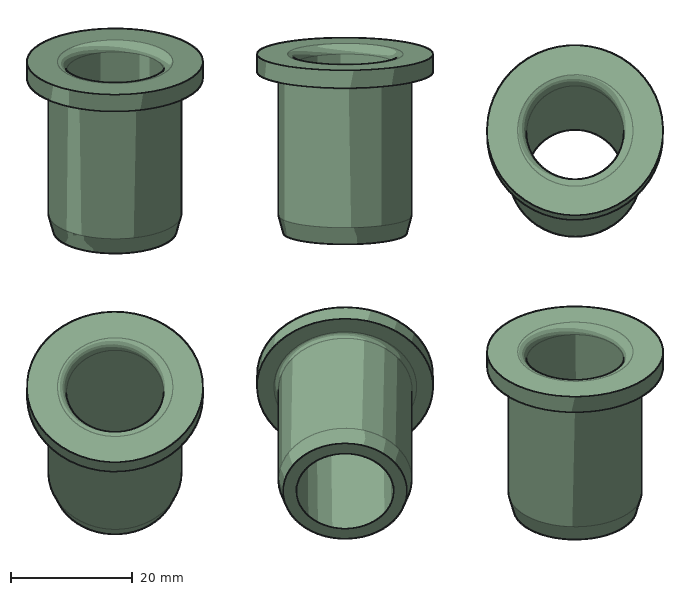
import cadquery as cq
import math

total_height = 30.0
flange_diameter = 29.0
flange_thickness = 3.0
body_diameter = 22.0
bore_diameter = 16.0
bore_entry_radius = 1.5
neck_fillet_radius = 0.75
lead_in_height = 3.0
lead_in_angle = 15.0

flange_radius = flange_diameter / 2
body_radius = body_diameter / 2
bore_radius = bore_diameter / 2
lead_in_radius = body_radius - lead_in_height * math.tan(math.radians(lead_in_angle))
flange_underside = total_height - flange_thickness
quarter_arc_factor = math.sqrt(0.5)


def bushing():
    """Flanged bushing revolved from its half section."""
    fillet_centre_r = body_radius + neck_fillet_radius
    fillet_centre_z = flange_underside - neck_fillet_radius
    fillet_mid_offset = neck_fillet_radius * quarter_arc_factor

    entry_centre_r = bore_radius + bore_entry_radius
    entry_centre_z = total_height - bore_entry_radius
    entry_mid_offset = bore_entry_radius * quarter_arc_factor

    section = (
        cq.Workplane("XZ")
        .moveTo(bore_radius, 0)
        .lineTo(lead_in_radius, 0)
        .lineTo(body_radius, lead_in_height)
        .lineTo(body_radius, fillet_centre_z)
        .threePointArc(
            (fillet_centre_r - fillet_mid_offset, fillet_centre_z + fillet_mid_offset),
            (fillet_centre_r, flange_underside),
        )
        .lineTo(flange_radius, flange_underside)
        .lineTo(flange_radius, total_height)
        .lineTo(entry_centre_r, total_height)
        .threePointArc(
            (entry_centre_r - entry_mid_offset, entry_centre_z + entry_mid_offset),
            (bore_radius, entry_centre_z),
        )
        .close()
    )
    return section.revolve(360, (0, 0, 0), (0, 1, 0))


result = bushing()